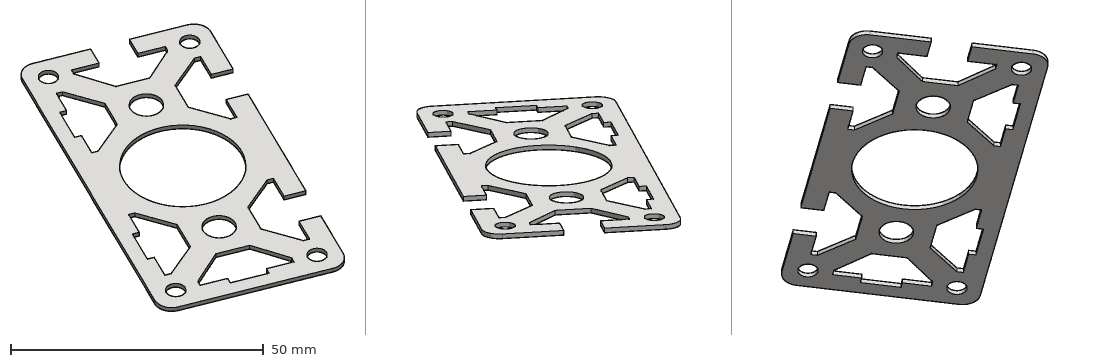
import cadquery as cq

cell = 40.0
length = 2 * cell
width = cell
thickness = 1.0
corner_radius = 3.6

centre_bore_diameter = 25.0
core_hole_diameter = 6.8
corner_hole_diameter = 4.0
corner_hole_inset = 5.0

slot_mouth_width = 8.2
slot_cavity_width = 19.9
slot_floor_width = 7.2
narrow_slot_reduction = 0.4
slot_floor = 7.5
slot_lip = 4.65
slot_shoulder = 1.3
closed_slot_wall = 3.2

lip_face = cell / 2 - slot_lip
open_mouth_end = cell / 2
closed_mouth_end = cell / 2 - closed_slot_wall

cell_centre_x = cell / 2


def slot_cutter(centre_x, direction, mouth_end, width_reduction=0.0):
    """T-slot of the cell at centre_x, facing along direction (degrees from +X)."""
    half_floor = (slot_floor_width - width_reduction) / 2
    half_cavity = (slot_cavity_width - width_reduction) / 2
    half_mouth = slot_mouth_width / 2
    upper_half = [
        (slot_floor, half_floor),
        (lip_face - slot_shoulder, half_cavity),
        (lip_face, half_cavity),
        (lip_face, half_mouth),
        (mouth_end, half_mouth),
    ]
    lower_half = [(x, -y) for x, y in reversed(upper_half)]
    cutter = cq.Workplane("XY").polyline(upper_half + lower_half).close().extrude(thickness)
    return cutter.rotate((0, 0, 0), (0, 0, 1), direction).translate((centre_x, 0, 0))


def drill(plate, diameter, centres):
    """Cut round through holes at the given centres."""
    holes = cq.Workplane("XY").pushPoints(centres).circle(diameter / 2).extrude(thickness)
    return plate.cut(holes)


plate = (
    cq.Workplane("XY")
    .rect(length, width)
    .extrude(thickness)
    .edges("|Z")
    .fillet(corner_radius)
)

corner_x = length / 2 - corner_hole_inset
corner_y = width / 2 - corner_hole_inset
plate = drill(plate, centre_bore_diameter, [(0, 0)])
plate = drill(plate, core_hole_diameter, [(side * cell_centre_x, 0) for side in (-1, 1)])
plate = drill(
    plate,
    corner_hole_diameter,
    [(sx * corner_x, sy * corner_y) for sx in (-1, 1) for sy in (-1, 1)],
)

for side in (-1, 1):
    plate = plate.cut(slot_cutter(side * cell_centre_x, 90, open_mouth_end))
plate = plate.cut(slot_cutter(-cell_centre_x, 180, open_mouth_end))

plate = plate.cut(slot_cutter(cell_centre_x, 0, closed_mouth_end))
plate = plate.cut(slot_cutter(cell_centre_x, 270, closed_mouth_end))
plate = plate.cut(slot_cutter(-cell_centre_x, 270, closed_mouth_end, narrow_slot_reduction))

result = plate